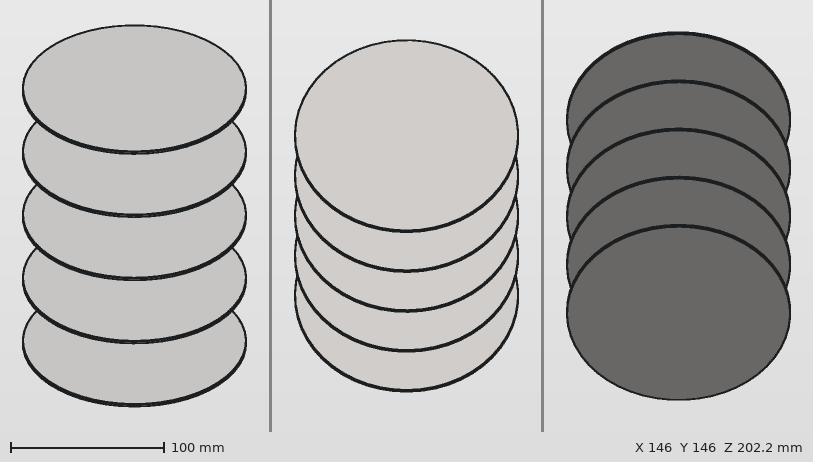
import cadquery as cq

stack_height = 202.2
disc_count = 5

disc_diameter = 146.0
disc_thickness = 2.2
edge_chamfer = 0.5

disc_pitch = (stack_height - disc_thickness) / (disc_count - 1)


def make_disc(base_z):
    """Thin round disc with both rims chamfered, resting at height base_z."""
    blank = cq.Workplane("XY", origin=(0, 0, base_z)).circle(disc_diameter / 2).extrude(disc_thickness)
    return blank.edges("%CIRCLE").chamfer(edge_chamfer)


discs = [make_disc(index * disc_pitch) for index in range(disc_count)]

result = cq.Compound.makeCompound([disc.val() for disc in discs])